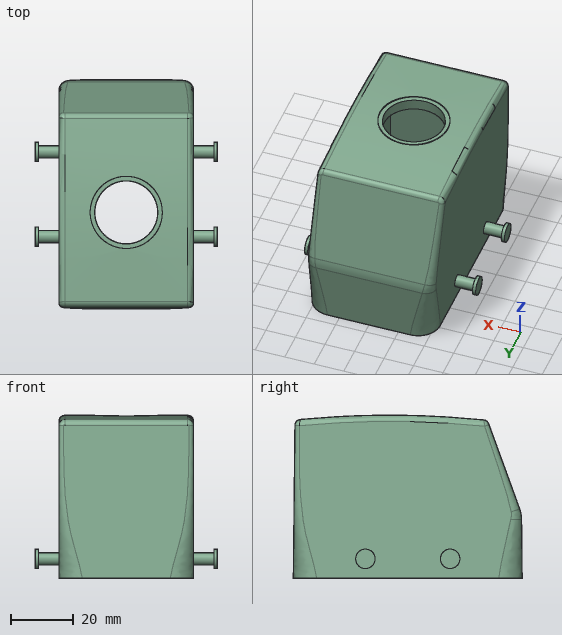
import math

import cadquery as cq

kernel = cq.occ_impl.shapes

HOOD_WIDTH = 43.0
HOOD_LENGTH = 73.0
HOOD_HEIGHT = 52.0
END_DRAFT = 0.6
CROWN_RADIUS = 300.0
CROWN_Y = -5.8
KINK_HEIGHT = 20.5
KINK_RADIUS = 10.0
SLOPE_ANGLE = 20.0

BASE_TOLERANCE = 0.01

TOP_EDGE_RADIUS = 2.0
CORNER_RADIUS_BOTTOM = 7.5
CORNER_RADIUS_TOP = 1.5
KINK_RADIUS_BELOW = 3.5
KINK_RADIUS_ABOVE = 2.9
FRONT_CORNER = (
    ((0, CORNER_RADIUS_BOTTOM), (0.28, 3.85), (0.5, 2.15), (1, CORNER_RADIUS_TOP)),
)
REAR_CORNER = (
    ((0, CORNER_RADIUS_BOTTOM), (1, KINK_RADIUS_BELOW)),
    ((0, KINK_RADIUS_BELOW), (1, KINK_RADIUS_ABOVE)),
    ((0, KINK_RADIUS_ABOVE), (0.4, 2.0), (1, CORNER_RADIUS_TOP)),
)

WALL = 4.0

ENTRY_DIAMETER = 20.0
ENTRY_RECESS_DIAMETER = 23.0
ENTRY_RECESS_DEPTH = 0.4

PIN_SPAN = 58.0
PIN_SPACING = 27.0
PIN_HEIGHT = 6.2
PIN_DIAMETER = 4.0
HEAD_DIAMETER = 6.2
HEAD_THICKNESS = 1.1


def outline_block(inset):
    """Hood-shaped block with sharp edges, moved inwards by inset on all faces but the base."""
    half_length = HOOD_LENGTH / 2 - inset
    half_width = HOOD_WIDTH / 2 - inset
    arch_radius = CROWN_RADIUS - inset
    arch_centre_z = HOOD_HEIGHT - CROWN_RADIUS
    crown_z = HOOD_HEIGHT - inset
    draft = math.tan(math.radians(END_DRAFT))
    slope = math.tan(math.radians(SLOPE_ANGLE))

    front_top_y = -half_length + draft * crown_z
    kink_y = half_length - draft * KINK_HEIGHT
    rear_top_y = kink_y - slope * (crown_z - KINK_HEIGHT)

    side = (
        cq.Workplane("YZ", origin=(-half_width, 0, 0))
        .moveTo(-half_length, 0)
        .lineTo(half_length, 0)
        .lineTo(kink_y, KINK_HEIGHT)
        .lineTo(rear_top_y, crown_z)
        .lineTo(front_top_y, crown_z)
        .close()
        .extrude(2 * half_width)
    )
    arch = (
        cq.Workplane("YZ", origin=(-half_width, CROWN_Y, arch_centre_z))
        .circle(arch_radius)
        .extrude(2 * half_width)
    )
    return side.intersect(arch)


def round_kink(block):
    """Blend the upright part of the rear into the sloped part."""
    kink = block.faces(">Y").edges("|X and >Z")
    return block.newObject(kink.vals()).fillet(KINK_RADIUS)


def radius_law(stations):
    """Radius along one stretch of an edge, interpolated through (fraction, radius) stations."""
    law = kernel.TColgp_HArray1OfPnt2d(1, len(stations))
    for index, (fraction, radius) in enumerate(stations, start=1):
        law.SetValue(index, kernel.gp_Pnt2d(fraction, radius))
    return law.Array1()


def reversed_corner(stretches):
    """The same corner described from the top down."""
    return [[(1 - fraction, radius) for fraction, radius in stretch[::-1]] for stretch in stretches[::-1]]


def round_edges(block):
    """Round the upright corners with a varying radius and the rim of the top with a constant one."""
    maker = kernel.BRepFilletAPI_MakeFillet(block.val().wrapped)

    rising_edges = block.edges("not #Z").vals()
    uprights = [edge for edge in rising_edges if edge.BoundingBox().zmin < BASE_TOLERANCE]
    for contour, edge in enumerate(uprights, start=1):
        maker.Add(edge.wrapped)
        corner = REAR_CORNER if edge.Center().y > 0 else FRONT_CORNER
        start_z = cq.Vertex(maker.FirstVertex(contour)).Z
        end_z = cq.Vertex(maker.LastVertex(contour)).Z
        if start_z > end_z:
            corner = reversed_corner(corner)
        for stretch, stations in enumerate(corner, start=1):
            maker.SetRadius(radius_law(stations), contour, stretch)

    top_face = block.faces(cq.selectors.NearestToPointSelector((0, CROWN_Y, HOOD_HEIGHT)))
    for edge in top_face.edges().vals():
        maker.Add(TOP_EDGE_RADIUS, edge.wrapped)
    return cq.Workplane(cq.Shape.cast(maker.Shape()))


def cable_entry():
    """Stepped cutter for the cable entry, reaching down into the cavity."""
    recess_floor = HOOD_HEIGHT - ENTRY_RECESS_DEPTH
    entry = cq.Workplane("XY", origin=(0, CROWN_Y, recess_floor))
    recess = entry.circle(ENTRY_RECESS_DIAMETER / 2).extrude(2 * ENTRY_RECESS_DEPTH)
    bore = entry.circle(ENTRY_DIAMETER / 2).extrude(-2 * WALL)
    return recess.union(bore)


def locking_pin(side, y):
    """Headed pin standing out of one side (-1 or 1), rooted in the wall."""
    root_x = HOOD_WIDTH / 2 - WALL / 2
    head_x = PIN_SPAN / 2 - HEAD_THICKNESS
    plane = cq.Workplane("YZ", origin=(side * root_x, y, PIN_HEIGHT))
    shank = plane.circle(PIN_DIAMETER / 2).extrude(side * (head_x - root_x))
    head = (
        cq.Workplane("YZ", origin=(side * head_x, y, PIN_HEIGHT))
        .circle(HEAD_DIAMETER / 2)
        .extrude(side * HEAD_THICKNESS)
    )
    return shank.union(head)


hood = round_edges(round_kink(outline_block(0)))
hood = hood.cut(outline_block(WALL)).cut(cable_entry())
for side in (-1, 1):
    for y in (-PIN_SPACING / 2, PIN_SPACING / 2):
        hood = hood.union(locking_pin(side, y))

result = hood